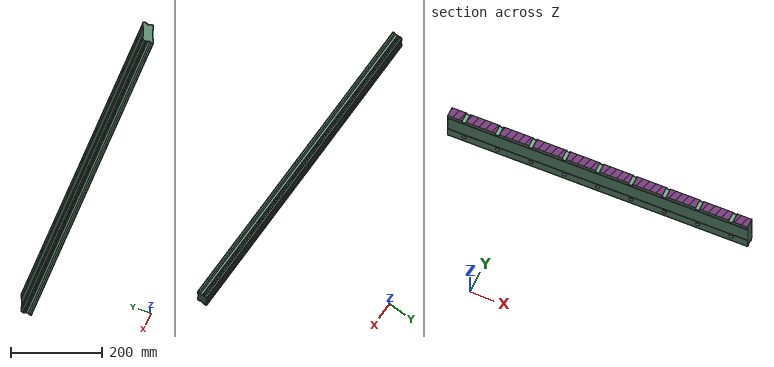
import cadquery as cq
import math

length = 720.0
thickness = 24.0
height = 90.0

nose_center_y = 7.0
nose_tip_half_width = 1.4

raceway_offset = 0.3
raceway_chord = 4.5
raceway_radius = 3.28

trough_depth = 5.2
lip_width = 4.4
lip_wall_angle = 60.0
lip_chamfer = 0.9

recess_height = 41.2
recess_depth = 1.1

hole_diameter = 9.0
hole_pitch = 80.0
holes_per_row = 9
hole_row_spacing = 60.0

half_thickness = thickness / 2
half_height = height / 2
trough_floor_z = half_height - trough_depth
lip_edge_y = -half_thickness + lip_width
lip_foot_y = lip_edge_y + trough_depth / math.tan(math.radians(lip_wall_angle))
nose_foot_y = nose_center_y - nose_tip_half_width - trough_depth
outer_flank_drop = half_thickness - nose_center_y - nose_tip_half_width
raceway_depth = raceway_radius - math.sqrt(raceway_radius**2 - (raceway_chord / 2) ** 2)


def flank_point(side, along, inward=0.0):
    """Point on a nose flank: side is +1 or -1 in Y, distances run down the flank and into the nose."""
    diagonal = math.sqrt(0.5)
    y = nose_center_y + side * (nose_tip_half_width + (along - inward) * diagonal)
    z = half_height - (along + inward) * diagonal
    return (y, z)


def upper_profile():
    """Upper half of the cross-section, closed along the mid-plane."""
    raceway_start = raceway_offset
    raceway_middle = raceway_offset + raceway_chord / 2
    raceway_end = raceway_offset + raceway_chord
    return (
        cq.Workplane("YZ", origin=(-length / 2, 0, 0))
        .moveTo(-half_thickness, 0)
        .lineTo(-half_thickness, half_height - lip_chamfer)
        .lineTo(-half_thickness + lip_chamfer, half_height)
        .lineTo(lip_edge_y, half_height)
        .lineTo(lip_foot_y, trough_floor_z)
        .lineTo(nose_foot_y, trough_floor_z)
        .lineTo(*flank_point(-1, raceway_end))
        .threePointArc(flank_point(-1, raceway_middle, raceway_depth), flank_point(-1, raceway_start))
        .lineTo(nose_center_y - nose_tip_half_width, half_height)
        .lineTo(nose_center_y + nose_tip_half_width, half_height)
        .lineTo(*flank_point(1, raceway_start))
        .threePointArc(flank_point(1, raceway_middle, raceway_depth), flank_point(1, raceway_end))
        .lineTo(half_thickness, half_height - outer_flank_drop)
        .lineTo(half_thickness, 0)
        .close()
    )


def rail_body():
    upper_half = upper_profile().extrude(length)
    lower_half = upper_half.mirror("XY")
    return upper_half.union(lower_half)


def face_recess(side):
    """Cutter for the recess on the +Y (side = 1) or -Y (side = -1) face."""
    center_y = side * (half_thickness - recess_depth / 2)
    return cq.Workplane("XY").box(length, recess_depth, recess_height).translate((0, center_y, 0))


def through_holes():
    return (
        cq.Workplane("XZ", origin=(0, half_thickness, 0))
        .rarray(hole_pitch, hole_row_spacing, holes_per_row, 2)
        .circle(hole_diameter / 2)
        .extrude(thickness)
    )


result = rail_body()
for face_side in (1, -1):
    result = result.cut(face_recess(face_side))
result = result.cut(through_holes())